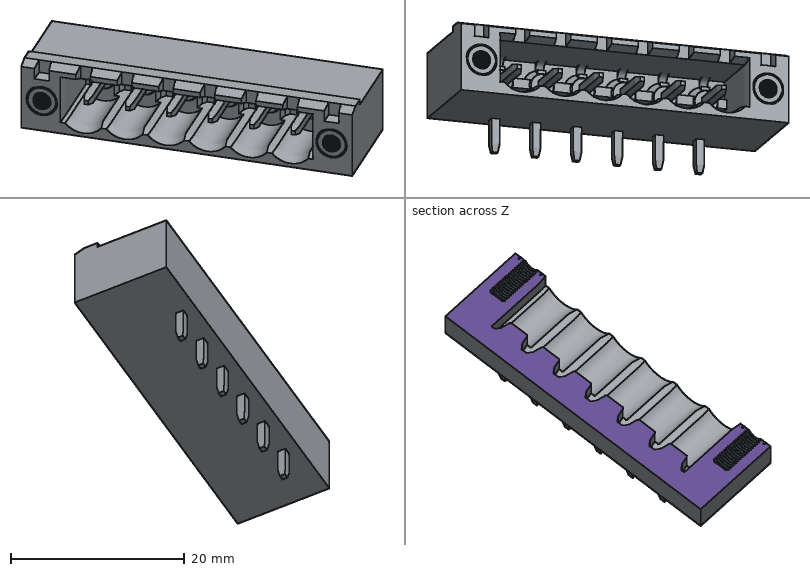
import cadquery as cq

LENGTH = 40.0
DEPTH = 12.0
BODY_HEIGHT = 8.5
REAR_HEIGHT = 7.85
LIP_DEPTH = 3.0
LEAD_DEPTH = 1.3
LIP_CHAMFER_DROP = 0.5
FRONT_Y = -DEPTH / 2
BACK_Y = DEPTH / 2
LEAD_Y = FRONT_Y + LEAD_DEPTH

PIN_COUNT = 6
PITCH = 5.0
PIN_SIZE = 1.0
PIN_AXIS_Z = 3.88
PIN_SETBACK = 1.2
PIN_TIP_SIZE = 0.5
PIN_TIP_LENGTH = 1.0
LEG_Y = BACK_Y - 2.0
LEG_LENGTH = 4.0
LEG_TIP_LENGTH = 1.0
LEG_TIP_SIZE = 0.65
PIN_XS = [(i - (PIN_COUNT - 1) / 2) * PITCH for i in range(PIN_COUNT)]
FLANGE_XS = [PIN_XS[0] - PITCH, PIN_XS[-1] + PITCH]

CAVITY_BACK_Y = FRONT_Y + 8.5
MOUTH_HALF_WIDTH = 15.25
MOUTH_FLOOR_Z = 1.45
MOUTH_CEILING_Z = 7.37
THROAT_HALF_WIDTH = 15.07
THROAT_FLOOR_Z = 1.69
THROAT_CEILING_Z = 6.85
SCOOP_AXIS_Z = 3.43
SCOOP_MOUTH_RADIUS = 2.95
SCOOP_THROAT_RADIUS = 2.65

NOTCH_MOUTH_WIDTH = 1.76
NOTCH_MOUTH_FLOOR_Z = 6.65
NOTCH_BACK_WIDTH = 1.44
NOTCH_BACK_FLOOR_Z = 6.87

BOSS_BASE_RADIUS = 2.06
BOSS_TIP_RADIUS = 1.37
BOSS_LENGTH = 1.0
LEDGE_LENGTH = 0.8
LEDGE_FRONT_Y = CAVITY_BACK_Y - LEDGE_LENGTH
LEDGE_TOP_Z = 4.52
POCKET_TOP_Z = 3.38
POCKET_DEPTH = 1.7
POCKET_KNEE_DEPTH = 1.1
POCKET_MOUTH_WIDTH = 2.2
POCKET_KNEE_WIDTH = 1.68
POCKET_BACK_WIDTH = 0.8
RIB_WIDTH = PIN_SIZE
RIB_TOP_Z = 5.8

INSERT_RADIUS = 1.85
INSERT_GAP = 0.15
INSERT_GAP_DEPTH = 0.3
THREAD_MINOR_RADIUS = 1.05
THREAD_MAJOR_RADIUS = 1.25
THREAD_PITCH = 0.35
THREAD_TURNS = 17


def box(x_range, y_range, z_range):
    """Axis-aligned block spanning the three ranges."""
    size = [high - low for low, high in (x_range, y_range, z_range)]
    corner = (x_range[0], y_range[0], z_range[0])
    return cq.Workplane("XY").box(*size, centered=False).translate(corner)


def facing_plane(x, y, z):
    """Sketch plane with local X along X, local Y along Z and its normal toward the front."""
    return cq.Workplane("XZ", origin=(x, y, z))


def tapered_block(x, front, back):
    """Block lofted between two rectangles, each given as (y, width, bottom z, top z)."""
    front_y, front_width, front_bottom, front_top = front
    back_y, back_width, back_bottom, back_top = back
    back_middle = (back_bottom + back_top) / 2
    front_middle = (front_bottom + front_top) / 2
    return (
        facing_plane(x, back_y, 0)
        .center(0, back_middle)
        .rect(back_width, back_top - back_bottom)
        .workplane(offset=back_y - front_y)
        .center(0, front_middle - back_middle)
        .rect(front_width, front_top - front_bottom)
        .loft()
    )


def truncated_cone(x, z, back, front):
    """Cone along Y between two circles, each given as (y, radius)."""
    back_y, back_radius = back
    front_y, front_radius = front
    return (
        facing_plane(x, back_y, z)
        .circle(back_radius)
        .workplane(offset=back_y - front_y)
        .circle(front_radius)
        .loft()
    )


def housing_block():
    """Block with a raised front lip, chamfered along its front edge."""
    profile = [
        (FRONT_Y, 0),
        (BACK_Y, 0),
        (BACK_Y, REAR_HEIGHT),
        (FRONT_Y + LIP_DEPTH, REAR_HEIGHT),
        (FRONT_Y + LIP_DEPTH, BODY_HEIGHT),
        (LEAD_Y, BODY_HEIGHT),
        (FRONT_Y, BODY_HEIGHT - LIP_CHAMFER_DROP),
    ]
    return cq.Workplane("YZ").polyline(profile).close().extrude(LENGTH / 2, both=True)


def cut_cavity(body):
    """Rectangular cavity with a flared mouth and one rounded floor scoop per contact."""
    throat = box(
        (-THROAT_HALF_WIDTH, THROAT_HALF_WIDTH),
        (LEAD_Y, CAVITY_BACK_Y),
        (THROAT_FLOOR_Z, THROAT_CEILING_Z),
    )
    mouth = tapered_block(
        0,
        (FRONT_Y, 2 * MOUTH_HALF_WIDTH, MOUTH_FLOOR_Z, MOUTH_CEILING_Z),
        (LEAD_Y, 2 * THROAT_HALF_WIDTH, THROAT_FLOOR_Z, THROAT_CEILING_Z),
    )
    body = body.cut(throat).cut(mouth)
    side_limit = box(
        (-THROAT_HALF_WIDTH, THROAT_HALF_WIDTH),
        (FRONT_Y, LEDGE_FRONT_Y),
        (0, SCOOP_AXIS_Z),
    )
    for x in PIN_XS:
        scoop = facing_plane(x, LEDGE_FRONT_Y, SCOOP_AXIS_Z).circle(SCOOP_THROAT_RADIUS)
        scoop = scoop.extrude(LEDGE_FRONT_Y - LEAD_Y)
        flare = truncated_cone(
            x,
            SCOOP_AXIS_Z,
            (LEAD_Y, SCOOP_THROAT_RADIUS),
            (FRONT_Y, SCOOP_MOUTH_RADIUS),
        )
        body = body.cut(scoop.intersect(side_limit)).cut(flare.intersect(side_limit))
    return body


def cut_coding_notches(body):
    """Tapered notches in the lip, over every contact and both flanges."""
    for x in PIN_XS + FLANGE_XS:
        notch = tapered_block(
            x,
            (FRONT_Y, NOTCH_MOUTH_WIDTH, NOTCH_MOUTH_FLOOR_Z, BODY_HEIGHT),
            (LEAD_Y, NOTCH_BACK_WIDTH, NOTCH_BACK_FLOOR_Z, BODY_HEIGHT),
        )
        body = body.cut(notch)
    return body


def add_ledge(body):
    """Ledge across the lower back wall, stopping the floor scoops."""
    ledge = box(
        (-THROAT_HALF_WIDTH, THROAT_HALF_WIDTH),
        (LEDGE_FRONT_Y, CAVITY_BACK_Y),
        (THROAT_FLOOR_Z, LEDGE_TOP_Z),
    )
    return body.union(ledge)


def cut_ledge_pockets(body):
    """Narrowing pockets in the ledge beside every contact, leaving a bar above them."""
    right_side = [
        (POCKET_MOUTH_WIDTH / 2, LEDGE_FRONT_Y),
        (POCKET_KNEE_WIDTH / 2, LEDGE_FRONT_Y + POCKET_KNEE_DEPTH),
        (POCKET_BACK_WIDTH / 2, LEDGE_FRONT_Y + POCKET_DEPTH),
    ]
    left_side = [(-half_width, y) for half_width, y in reversed(right_side)]
    side_limit = box(
        (-THROAT_HALF_WIDTH, THROAT_HALF_WIDTH),
        (LEDGE_FRONT_Y, BACK_Y),
        (THROAT_FLOOR_Z, POCKET_TOP_Z),
    )
    first_x = PIN_XS[0] - PITCH / 2
    for i in range(PIN_COUNT + 1):
        pocket = (
            cq.Workplane("XY", origin=(first_x + i * PITCH, 0, THROAT_FLOOR_Z))
            .polyline(right_side + left_side)
            .close()
            .extrude(POCKET_TOP_Z - THROAT_FLOOR_Z)
        )
        body = body.cut(pocket.intersect(side_limit))
    return body


def contact_boss(x):
    """Conical boss around a contact."""
    return truncated_cone(
        x,
        PIN_AXIS_Z,
        (CAVITY_BACK_Y, BOSS_BASE_RADIUS),
        (CAVITY_BACK_Y - BOSS_LENGTH, BOSS_TIP_RADIUS),
    )


def contact_rib(x):
    """Narrow rib on top of a boss, with a concave fillet running up to the ceiling."""
    rib_x = (x - RIB_WIDTH / 2, x + RIB_WIDTH / 2)
    rib = box(rib_x, (LEDGE_FRONT_Y, CAVITY_BACK_Y), (PIN_AXIS_Z, RIB_TOP_Z))
    radius = THROAT_CEILING_Z - RIB_TOP_Z
    corner = box(
        rib_x,
        (CAVITY_BACK_Y - radius, CAVITY_BACK_Y),
        (RIB_TOP_Z, THROAT_CEILING_Z),
    )
    hollow = (
        cq.Workplane("YZ", origin=(x, CAVITY_BACK_Y - radius, RIB_TOP_Z))
        .circle(radius)
        .extrude(RIB_WIDTH, both=True)
    )
    return rib.union(corner.cut(hollow))


def contact_pin(x):
    """Square right-angle pin with a tapered mating tip and a tapered solder leg."""
    half = PIN_SIZE / 2
    tip_half = PIN_TIP_SIZE / 2
    tip_y = FRONT_Y + PIN_SETBACK
    shank_y = tip_y + PIN_TIP_LENGTH
    low_z = PIN_AXIS_Z - half
    high_z = PIN_AXIS_Z + half
    side_x = (x - half, x + half)
    tip = tapered_block(
        x,
        (tip_y, PIN_TIP_SIZE, PIN_AXIS_Z - tip_half, PIN_AXIS_Z + tip_half),
        (shank_y, PIN_SIZE, low_z, high_z),
    )
    shank = box(side_x, (shank_y, LEG_Y + half), (low_z, high_z))
    leg_shoulder_z = LEG_TIP_LENGTH - LEG_LENGTH
    leg = box(side_x, (LEG_Y - half, LEG_Y + half), (leg_shoulder_z, high_z))
    leg_tip = (
        cq.Workplane("XY", origin=(x, LEG_Y, leg_shoulder_z))
        .rect(PIN_SIZE, PIN_SIZE)
        .workplane(offset=-LEG_TIP_LENGTH)
        .rect(LEG_TIP_SIZE, LEG_TIP_SIZE)
        .loft()
    )
    return shank.union(tip).union(leg).union(leg_tip)


def add_contacts(body):
    """Every contact pin with its boss and rib."""
    for x in PIN_XS:
        for make_feature in (contact_boss, contact_rib, contact_pin):
            body = body.union(make_feature(x))
    return body


def threaded_hole(x):
    """Blind hole with V-shaped thread rings, revolved about its axis along Y."""
    profile = [(0, FRONT_Y), (THREAD_MINOR_RADIUS, FRONT_Y)]
    for turn in range(THREAD_TURNS):
        start_y = FRONT_Y + turn * THREAD_PITCH
        profile.append((THREAD_MAJOR_RADIUS, start_y + THREAD_PITCH / 2))
        profile.append((THREAD_MINOR_RADIUS, start_y + THREAD_PITCH))
    profile.append((0, FRONT_Y + THREAD_TURNS * THREAD_PITCH))
    hole = cq.Workplane("XY").polyline(profile).close().revolve(360, (0, 0), (0, 1))
    return hole.translate((x, 0, PIN_AXIS_Z))


def cut_flange_inserts(body):
    """Threaded hole and the thin ring gap around the insert on each flange."""
    for x in FLANGE_XS:
        gap = (
            facing_plane(x, FRONT_Y + INSERT_GAP_DEPTH, PIN_AXIS_Z)
            .circle(INSERT_RADIUS)
            .circle(INSERT_RADIUS - INSERT_GAP)
            .extrude(INSERT_GAP_DEPTH)
        )
        body = body.cut(gap).cut(threaded_hole(x))
    return body


result = housing_block()
result = cut_cavity(result)
result = cut_coding_notches(result)
result = add_ledge(result)
result = add_contacts(result)
result = cut_ledge_pockets(result)
result = cut_flange_inserts(result)